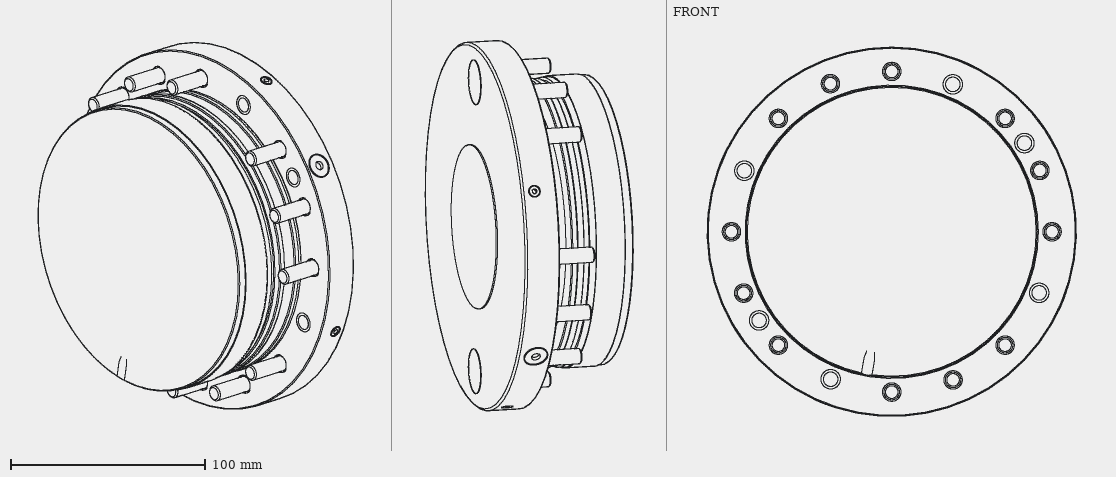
import cadquery as cq
import math


flange_radius = 95.0
flange_thickness = 18.5
flange_back_chamfer = 1.1
flange_front_chamfer = 0.5

cover_radius = 42.4
cover_height = 0.8
pad_radius = 11.5
pad_height = 0.4
pad_circle_radius = 76.0

body_length = 45.0
body_radius = 74.9
land_radius = 75.5
step_radius = 74.3
relief_radius = 73.3
neck_radius = 63.8
edge_chamfer = 0.5
neck_start = 5.1
neck_end = 12.0
step_start = 15.5
relief_start = 18.8
relief_end = 21.7
land_start = 25.0
land_end = 40.5

body_bead_radius = 1.1
port_bead_radius = 0.66
port_bead_sink = 0.2
port_bead_circle_radius = 4.4

recess_rim_radius = 66.1
recess_floor_radius = 58.9
recess_depth = 0.5
notch_angle = 260.0
notch_width = 5.5

pin_circle_radius = 82.5
pin_radius = 4.0
pin_length = 21.3
pin_chamfer = 0.8
pin_recess_radius = 4.8
pin_recess_depth = 0.8
pin_angles = [45.0 * i for i in range(8)] + [22.5 + 90.0 * i for i in range(4)]

port_circle_radius = 82.0
screw_angles = [67.5 + 90.0 * i for i in range(4)]
plug_angles = [33.75, 213.75]

screw_y = 11.5
screw_radius = 3.0
screw_socket_radius = 1.24
plug_y = 8.4
plug_radius = 6.3
plug_socket_radius = 2.3
ring_groove_width = 0.28
ring_groove_depth = 0.5
socket_depth = 1.9
rim_clearance = 1.9

BACKWARD = cq.Vector(0, 1, 0)
FORWARD = cq.Vector(0, -1, 0)


def cylinder(radius, length, start, direction):
    return cq.Workplane(cq.Solid.makeCylinder(radius, length, start, direction))


def polar_point(radius, angle, y=0.0):
    """Point at an angle counter-clockwise from +X in the XZ plane."""
    turn = math.radians(angle)
    return cq.Vector(radius * math.cos(turn), y, radius * math.sin(turn))


def make_flange():
    flange = cylinder(flange_radius, flange_thickness, cq.Vector(0, 0, 0), BACKWARD)
    flange = flange.faces(">Y").chamfer(flange_back_chamfer)
    flange = flange.faces("<Y").chamfer(flange_front_chamfer)
    back = flange_thickness
    flange = flange.union(cylinder(cover_radius, cover_height, cq.Vector(0, back, 0), BACKWARD))
    for side in (-1, 1):
        pad_centre = cq.Vector(0, back, side * pad_circle_radius)
        flange = flange.union(cylinder(pad_radius, pad_height, pad_centre, BACKWARD))
    return flange


def make_body():
    bead_root = body_radius - body_bead_radius
    bead_end = -2 * body_bead_radius
    front = -body_length
    profile = (
        cq.Workplane("XY")
        .lineTo(bead_root, 0)
        .threePointArc((body_radius, bead_end / 2), (bead_root, bead_end))
        .lineTo(body_radius, bead_end)
        .lineTo(body_radius, edge_chamfer - neck_start)
        .lineTo(body_radius - edge_chamfer, -neck_start)
        .lineTo(neck_radius, -neck_start)
        .lineTo(neck_radius, -neck_end)
        .lineTo(body_radius - edge_chamfer, -neck_end)
        .lineTo(body_radius, -neck_end - edge_chamfer)
        .lineTo(body_radius, body_radius - step_radius - step_start)
        .lineTo(step_radius, -step_start)
        .lineTo(step_radius, -relief_start)
        .lineTo(relief_radius, -relief_start)
        .lineTo(relief_radius, -relief_end)
        .lineTo(body_radius, -relief_end)
        .lineTo(body_radius, -land_start)
        .lineTo(land_radius, -land_start)
        .lineTo(land_radius, -land_end)
        .lineTo(body_radius, -land_end)
        .lineTo(body_radius, front + edge_chamfer)
        .lineTo(body_radius - edge_chamfer, front)
        .lineTo(recess_rim_radius, front)
        .lineTo(recess_floor_radius, front + recess_depth)
        .lineTo(0, front + recess_depth)
        .close()
    )
    return profile.revolve(360, (0, 0, 0), (0, 1, 0))


def make_notch():
    radius = (notch_width ** 2 / 4 + recess_depth ** 2) / (2 * recess_depth)
    axis_y = recess_depth - body_length - radius
    start = polar_point(recess_floor_radius, notch_angle, axis_y)
    return cylinder(radius, land_radius - recess_floor_radius, start, polar_point(1, notch_angle))


def add_pin(part, angle):
    face_point = polar_point(pin_circle_radius, angle)
    recess = cylinder(pin_recess_radius, pin_recess_depth, face_point, BACKWARD)
    root = polar_point(pin_circle_radius, angle, pin_recess_depth)
    pin = cylinder(pin_radius, pin_length + pin_recess_depth, root, FORWARD)
    pin = pin.faces("<Y").chamfer(pin_chamfer)
    return part.cut(recess).union(pin)


def add_port_bead(part, angle):
    centre = polar_point(port_circle_radius, angle, port_bead_sink)
    bead = cq.Solid.makeTorus(port_bead_circle_radius, port_bead_radius, centre, BACKWARD)
    return part.union(cq.Workplane(bead))


def cut_rim_fitting(part, angle, y, radius, socket_radius):
    """Ring groove around a flush head, with a round drive socket in its centre."""
    inward = polar_point(-1, angle)
    outer_start = polar_point(flange_radius + rim_clearance, angle, y)
    ring_length = rim_clearance + ring_groove_depth
    socket_length = rim_clearance + socket_depth
    ring = cylinder(radius, ring_length, outer_start, inward)
    head = cylinder(radius - ring_groove_width, ring_length, outer_start, inward)
    socket = cylinder(socket_radius, socket_length, outer_start, inward)
    return part.cut(ring.cut(head)).cut(socket)


result = make_flange().union(make_body()).cut(make_notch())
for angle in pin_angles:
    result = add_pin(result, angle)
for angle in screw_angles:
    result = add_port_bead(result, angle)
    result = cut_rim_fitting(result, angle, screw_y, screw_radius, screw_socket_radius)
for angle in plug_angles:
    result = add_port_bead(result, angle)
    result = cut_rim_fitting(result, angle, plug_y, plug_radius, plug_socket_radius)